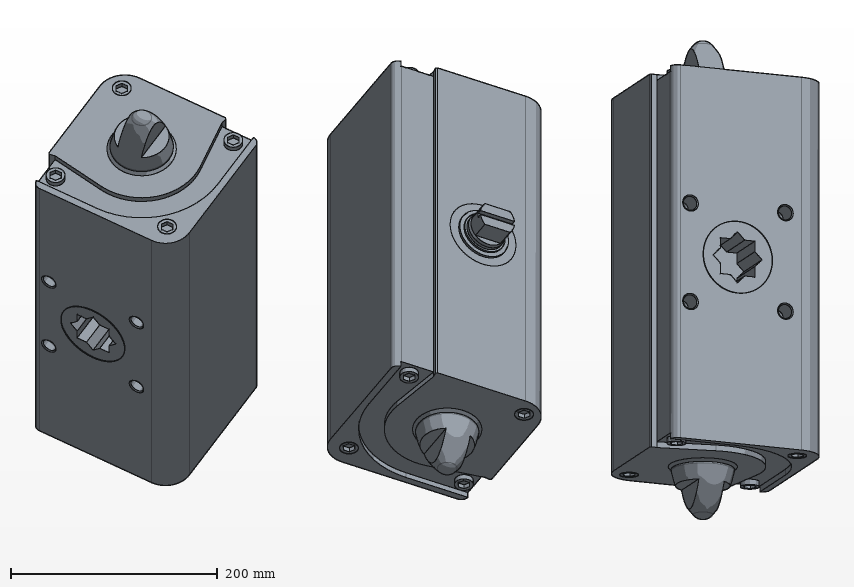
import cadquery as cq
import math


NEAR_SIDE = 75.0
FAR_SIDE = 93.0
STEP_SIDE = 67.5
STEP_HEIGHT = 50.5
LIP_HEIGHT = 51.5
LIP_CHAMFER = 1.5
NEAR_CORNER_RADIUS = 28.5
FAR_CORNER_RADIUS = 27.0
STEP_CORNER_RADIUS = 7.5
HALF_HEIGHT = 187.0

RECESS_DEPTH = 5.8
RECESS_INNER_RADIUS = 61.0
RECESS_OUTER_RADIUS = 86.0

SCREW_SPACING = 125.5
SCREW_CENTER = 7.5
HEAD_DIAMETER = 18.0
HEAD_DROP = 0.5
HEX_FLATS = 11.0
HEX_DEPTH = 5.0

HALF_LENGTH = 239.5
COLLAR_BASE_RADIUS = 33.5
COLLAR_HEIGHT = 3.0
DOME_RADIUS = 30.5
DOME_START = 4.5
DOME_MIDDLE_RADIUS = 21.0
DOME_MIDDLE = 31.0
TIP_RADIUS = 9.5
TIP_HEIGHT = 5.0
BLADE_THICKNESS = 26.5
SHOULDER_HEIGHT = 19.0

MOUNT_SPACING = 98.8
MOUNT_DIAMETER = 14.0
MOUNT_MOUTH_DIAMETER = 16.5
MOUNT_DEPTH = 24.0
DRILL_TIP_ANGLE = 118

SHAFT_DIAMETER = 72.0
SHAFT_INSET = 1.0
SHAFT_END = 105.0
FLANGE_DIAMETER = 53.0
FLANGE_END = 77.0
RING_DIAMETER = 44.0
RING_END = 79.0
COLLAR_DIAMETER = 40.0
COLLAR_CONE_START = 82.5
COLLAR_END = 85.5
STUB_DIAMETER = 37.5
STUB_FLATS = 25.5
SLOT_WIDTH = 5.0
SLOT_DEPTH = 5.0
STAR_FLATS = 36.0
STAR_DEPTH = 48.0


def both_ends(top):
    """The given top-end shape together with its mirror image at the bottom end."""
    return top.union(top.mirror("XY"))


def housing_block():
    lower_left = [
        (-NEAR_SIDE, NEAR_SIDE),
        (-NEAR_SIDE, LIP_CHAMFER - LIP_HEIGHT),
        (LIP_CHAMFER - NEAR_SIDE, -LIP_HEIGHT),
        (-STEP_SIDE, -STEP_HEIGHT),
        (-STEP_SIDE, -FAR_SIDE),
        (FAR_SIDE, -FAR_SIDE),
    ]
    upper_right = [(-y, -x) for x, y in reversed(lower_left[1:-1])]
    block = (
        cq.Workplane("XY", origin=(0, 0, -HALF_HEIGHT))
        .polyline(lower_left + upper_right)
        .close()
        .extrude(2 * HALF_HEIGHT)
    )
    rounded_corners = [
        (-NEAR_SIDE, NEAR_SIDE, NEAR_CORNER_RADIUS),
        (FAR_SIDE, -FAR_SIDE, FAR_CORNER_RADIUS),
        (-STEP_SIDE, -FAR_SIDE, STEP_CORNER_RADIUS),
        (FAR_SIDE, STEP_SIDE, STEP_CORNER_RADIUS),
    ]
    for x, y, radius in rounded_corners:
        corner = cq.selectors.NearestToPointSelector((x, y, 0))
        block = block.edges("|Z").edges(corner).fillet(radius)
    return block


def end_recess():
    """Band between two arcs around the piston axis, running out through both stepped sides."""
    reach = math.hypot(STEP_SIDE, STEP_HEIGHT)
    direction = math.atan2(-STEP_HEIGHT, -STEP_SIDE)
    tangent = direction + math.acos(RECESS_INNER_RADIUS / reach)
    tangent_x = RECESS_INNER_RADIUS * math.cos(tangent)
    tangent_y = RECESS_INNER_RADIUS * math.sin(tangent)
    inner_middle = RECESS_INNER_RADIUS * math.sqrt(0.5)
    outer_middle = RECESS_OUTER_RADIUS * math.sqrt(0.5)
    return (
        cq.Workplane("XY", origin=(0, 0, HALF_HEIGHT - RECESS_DEPTH))
        .moveTo(-STEP_SIDE, -STEP_HEIGHT)
        .lineTo(tangent_x, tangent_y)
        .threePointArc((inner_middle, -inner_middle), (-tangent_y, -tangent_x))
        .lineTo(STEP_HEIGHT, STEP_SIDE)
        .lineTo(RECESS_OUTER_RADIUS, STEP_SIDE)
        .lineTo(RECESS_OUTER_RADIUS, 0)
        .threePointArc((outer_middle, -outer_middle), (0, -RECESS_OUTER_RADIUS))
        .lineTo(-STEP_SIDE, -RECESS_OUTER_RADIUS)
        .close()
        .extrude(RECESS_DEPTH)
    )


def at_screws(z):
    return cq.Workplane("XY", origin=(SCREW_CENTER, -SCREW_CENTER, z)).rarray(
        SCREW_SPACING, SCREW_SPACING, 2, 2
    )


def screw_bores():
    return at_screws(HALF_HEIGHT - RECESS_DEPTH).circle(HEAD_DIAMETER / 2).extrude(RECESS_DEPTH)


def screw_heads():
    """Socket heads standing on the recess floor, just below the end face."""
    heads = at_screws(HALF_HEIGHT - RECESS_DEPTH).circle(HEAD_DIAMETER / 2).extrude(RECESS_DEPTH - HEAD_DROP)
    hex_corners = HEX_FLATS / math.cos(math.pi / 6)
    sockets = at_screws(HALF_HEIGHT - HEAD_DROP - HEX_DEPTH).polygon(6, hex_corners).extrude(HEX_DEPTH)
    return heads.cut(sockets)


def knob():
    """Domed cap whose -X and +X sides are cut away to leave a blade."""
    dome = (
        cq.Workplane("XZ")
        .moveTo(0, HALF_HEIGHT)
        .lineTo(COLLAR_BASE_RADIUS, HALF_HEIGHT)
        .lineTo(DOME_RADIUS, HALF_HEIGHT + COLLAR_HEIGHT)
        .lineTo(DOME_RADIUS, HALF_HEIGHT + DOME_START)
        .threePointArc(
            (DOME_MIDDLE_RADIUS, HALF_HEIGHT + DOME_MIDDLE),
            (TIP_RADIUS, HALF_LENGTH - TIP_HEIGHT),
        )
    )
    cap_radius = (TIP_RADIUS**2 + TIP_HEIGHT**2) / (2 * TIP_HEIGHT)
    half_angle = math.asin(TIP_RADIUS / cap_radius) / 2
    cap_middle = (
        cap_radius * math.sin(half_angle),
        HALF_LENGTH - cap_radius * (1 - math.cos(half_angle)),
    )
    dome = dome.threePointArc(cap_middle, (0, HALF_LENGTH)).close()
    dome = dome.revolve(360, (0, 0, 0), (0, 1, 0))
    shoulder = HALF_HEIGHT + SHOULDER_HEIGHT
    cheek_width = DOME_RADIUS
    for side in (-1, 1):
        cheek = cq.Workplane("XY", origin=(side * (BLADE_THICKNESS + cheek_width) / 2, 0, shoulder)).rect(
            cheek_width, 2 * DOME_RADIUS
        )
        dome = dome.cut(cheek.extrude(HALF_LENGTH - shoulder))
    return dome


def mounting_holes():
    radius = MOUNT_DIAMETER / 2
    mouth_radius = MOUNT_MOUTH_DIAMETER / 2
    tip_length = radius / math.tan(math.radians(DRILL_TIP_ANGLE / 2))
    profile = [
        (0, 0),
        (mouth_radius, 0),
        (radius, mouth_radius - radius),
        (radius, MOUNT_DEPTH),
        (0, MOUNT_DEPTH + tip_length),
    ]
    hole = cq.Workplane("XY").polyline(profile).close().revolve(360, (0, 0, 0), (0, 1, 0))
    holes = cq.Workplane("XY")
    for x in (-MOUNT_SPACING / 2, MOUNT_SPACING / 2):
        for z in (-MOUNT_SPACING / 2, MOUNT_SPACING / 2):
            holes = holes.add(hole.translate((x, -FAR_SIDE, z)))
    return holes.combine()


def shaft_bore():
    return cq.Workplane("XZ", origin=(0, NEAR_SIDE, 0)).circle(SHAFT_DIAMETER / 2).extrude(NEAR_SIDE + FAR_SIDE)


def make_housing():
    housing = housing_block().cut(both_ends(end_recess())).cut(both_ends(screw_bores()))
    housing = housing.union(both_ends(screw_heads())).union(both_ends(knob()))
    return housing.cut(mounting_holes()).cut(shaft_bore())


def make_shaft():
    socket_face = SHAFT_INSET - FAR_SIDE
    profile = [
        (0, socket_face),
        (SHAFT_DIAMETER / 2, socket_face),
        (SHAFT_DIAMETER / 2, NEAR_SIDE),
        (FLANGE_DIAMETER / 2, NEAR_SIDE),
        (FLANGE_DIAMETER / 2, FLANGE_END),
        (RING_DIAMETER / 2, FLANGE_END),
        (RING_DIAMETER / 2, RING_END),
        (COLLAR_DIAMETER / 2, RING_END),
        (COLLAR_DIAMETER / 2, COLLAR_CONE_START),
        (STUB_DIAMETER / 2, COLLAR_END),
        (STUB_DIAMETER / 2, SHAFT_END),
        (0, SHAFT_END),
    ]
    shaft = cq.Workplane("XY").polyline(profile).close().revolve(360, (0, 0, 0), (0, 1, 0))

    flat_cut = (STUB_DIAMETER - STUB_FLATS) / 2
    for side in (-1, 1):
        flat = cq.Workplane("XZ", origin=(0, SHAFT_END, side * (STUB_FLATS + flat_cut) / 2))
        shaft = shaft.cut(flat.rect(STUB_DIAMETER, flat_cut).extrude(SHAFT_END - COLLAR_END))
    slot = cq.Workplane("XZ", origin=(0, SHAFT_END, 0)).rect(STUB_DIAMETER, SLOT_WIDTH)
    shaft = shaft.cut(slot.extrude(SLOT_DEPTH))

    square = cq.Workplane("XZ", origin=(0, socket_face + STAR_DEPTH, 0)).rect(STAR_FLATS, STAR_FLATS)
    square = square.extrude(STAR_DEPTH)
    turned_square = square.rotate((0, 0, 0), (0, 1, 0), 45)
    return shaft.cut(square).cut(turned_square)


housing = make_housing()
shaft = make_shaft()
result = cq.Compound.makeCompound([housing.val(), shaft.val()])